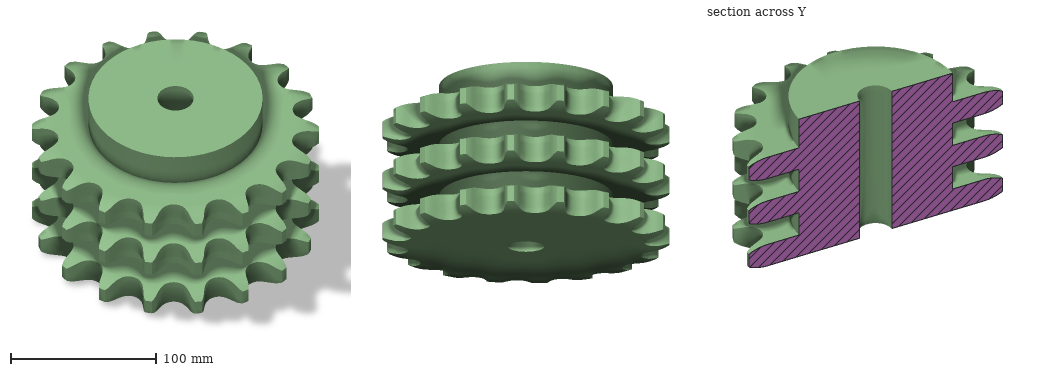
import cadquery as cq
import math


tooth_count = 18
outer_radius = 99.0
pitch_radius = 91.5
roller_diameter = 19.0
plate_thickness = 18.2
strand_spacing = 36.5
strand_count = 3
hub_diameter = 120.0
bore_diameter = 25.0
total_height = 115.0
side_arc_radius = 31.7
side_arc_start = 84.3

seat_radius = 1.005 * roller_diameter / 2
seat_angle = math.radians(35 + 60 / tooth_count)
working_angle = math.radians(18 - 56 / tooth_count)
pressure_angle = math.radians(17 - 64 / tooth_count)
half_pitch_angle = math.pi / tooth_count
working_center_offset = 0.8 * roller_diameter
topping_center_offset = 1.4 * roller_diameter
working_radius = seat_radius + working_center_offset
straight_length = (topping_center_offset * math.sin(pressure_angle)
                   - working_center_offset * math.sin(working_angle))
topping_radius = (working_center_offset * math.cos(working_angle)
                  + topping_center_offset * math.cos(pressure_angle) - working_radius)


def polar(center, radius, angle):
    """Point at a distance and angle from a center."""
    return (center[0] + radius * math.cos(angle), center[1] + radius * math.sin(angle))


def rotate(point, angle):
    """Turn a point about the sprocket axis."""
    return polar((0, 0), math.hypot(*point), math.atan2(point[1], point[0]) + angle)


def half_gap_points():
    """Ends and mid-points of one flank, for a gap centered on +Y, from gap bottom to tooth tip."""
    roller_center = (0, pitch_radius)
    seat_end = -seat_angle
    working_end = working_angle - seat_angle

    bottom = polar(roller_center, seat_radius, -math.pi / 2)
    seat_top = polar(roller_center, seat_radius, seat_end)

    working_center = polar(roller_center, working_center_offset, math.pi - seat_angle)
    working_middle = polar(working_center, working_radius, (seat_end + working_end) / 2)
    working_top = polar(working_center, working_radius, working_end)
    straight_top = polar(working_top, straight_length, working_end + math.pi / 2)

    topping_center = polar(roller_center, topping_center_offset, -half_pitch_angle)
    center_distance = math.hypot(*topping_center)
    cos_at_axis = ((outer_radius**2 + center_distance**2 - topping_radius**2)
                   / (2 * outer_radius * center_distance))
    tip_angle = math.atan2(topping_center[1], topping_center[0]) + math.acos(cos_at_axis)
    tip = polar((0, 0), outer_radius, tip_angle)
    topping_start = math.atan2(straight_top[1] - topping_center[1], straight_top[0] - topping_center[0])
    topping_end = math.atan2(tip[1] - topping_center[1], tip[0] - topping_center[0])
    topping_start %= 2 * math.pi
    topping_end %= 2 * math.pi
    topping_middle = polar(topping_center, topping_radius, (topping_start + topping_end) / 2)

    return [bottom, seat_top, working_middle, working_top, straight_top, topping_middle, tip]


def tooth_outline():
    """Closed outline of all teeth, walked clockwise one gap at a time."""
    flank = half_gap_points()
    mirrored = [(-x, y) for x, y in flank]
    outline = cq.Workplane("XY")
    for index in range(tooth_count):
        turn = -2 * half_pitch_angle * index
        bottom, seat_top, work_mid, work_top, straight_top, top_mid, tip = (
            rotate(p, turn) for p in flank)
        _, m_seat_top, m_work_mid, m_work_top, m_straight_top, m_top_mid, m_tip = (
            rotate(p, turn) for p in mirrored)
        land_middle = rotate((0, outer_radius), turn - half_pitch_angle)
        next_tip = rotate(mirrored[-1], turn - 2 * half_pitch_angle)
        if index == 0:
            outline = outline.moveTo(*m_tip)
        outline = (
            outline
            .threePointArc(m_top_mid, m_straight_top)
            .lineTo(*m_work_top)
            .threePointArc(m_work_mid, m_seat_top)
            .threePointArc(bottom, seat_top)
            .threePointArc(work_mid, work_top)
            .lineTo(*straight_top)
            .threePointArc(top_mid, tip)
            .threePointArc(land_middle, next_tip)
        )
    return outline.close()


def rounded_blank():
    """Plate blank whose rim curves in on both faces, tangent to the flat face."""
    reach = outer_radius - side_arc_start
    rim_inset = side_arc_radius - math.sqrt(side_arc_radius**2 - reach**2)
    middle_reach = reach / 2
    middle_inset = side_arc_radius - math.sqrt(side_arc_radius**2 - middle_reach**2)
    middle_radius = side_arc_start + middle_reach
    section = (
        cq.Workplane("XZ")
        .lineTo(side_arc_start, 0)
        .threePointArc((middle_radius, middle_inset), (outer_radius, rim_inset))
        .lineTo(outer_radius, plate_thickness - rim_inset)
        .threePointArc((middle_radius, plate_thickness - middle_inset), (side_arc_start, plate_thickness))
        .lineTo(0, plate_thickness)
        .close()
    )
    return section.revolve(360, (0, 0, 0), (0, 1, 0))


plate = tooth_outline().extrude(plate_thickness).intersect(rounded_blank())

result = cq.Workplane("XY").circle(hub_diameter / 2).extrude(total_height)
for strand in range(strand_count):
    result = result.union(plate.translate((0, 0, strand * strand_spacing)))

bore = cq.Workplane("XY").circle(bore_diameter / 2).extrude(total_height)
result = result.cut(bore)